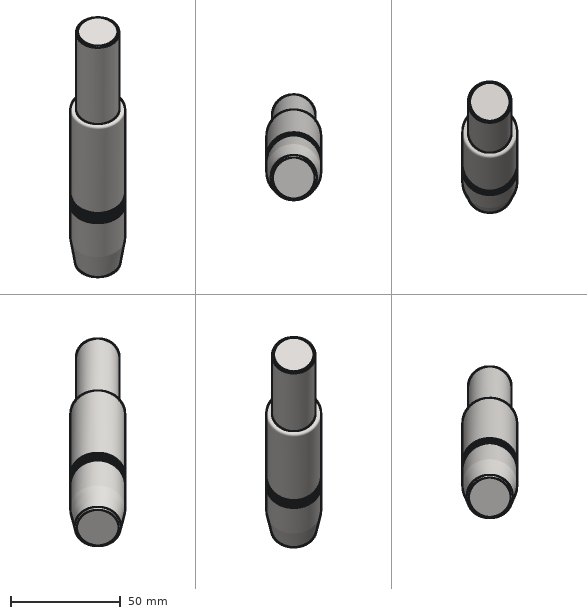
import cadquery as cq

total_length = 150.0
body_radius = 25.0 / 2
shank_radius = 20.0 / 2
shank_length = 50.0
shoulder_z = total_length - shank_length

shank_lead_radius = 9.8
shank_lead_length = 1.5
shank_end_radius = 9.0
shank_tip_length = 0.6

shoulder_round = 1.0

taper_top_z = 16.0
nose_radius = 10.5
nose_chamfer = 1.0

groove_count = 3
groove_pitch = 2.5
groove_width = 1.5
groove_depth = 0.38
top_groove_z = 44.1


def make_pin():
    """Revolve the stepped outline of the pin about Z."""
    return (
        cq.Workplane("XZ")
        .moveTo(0, 0)
        .lineTo(nose_radius - nose_chamfer, 0)
        .lineTo(nose_radius, nose_chamfer)
        .lineTo(body_radius, taper_top_z)
        .lineTo(body_radius, shoulder_z - shoulder_round)
        .tangentArcPoint((-shoulder_round, shoulder_round), relative=True)
        .lineTo(shank_radius, shoulder_z)
        .lineTo(shank_radius, total_length - shank_lead_length)
        .lineTo(shank_lead_radius, total_length - shank_tip_length)
        .lineTo(shank_end_radius, total_length)
        .lineTo(0, total_length)
        .close()
        .revolve(360, (0, 0, 0), (0, 1, 0))
    )


def make_groove(center_z):
    """V-shaped ring that cuts one groove into the body."""
    half_width = groove_width / 2
    return (
        cq.Workplane("XZ")
        .moveTo(body_radius, center_z - half_width)
        .lineTo(body_radius - groove_depth, center_z)
        .lineTo(body_radius, center_z + half_width)
        .close()
        .revolve(360, (0, 0, 0), (0, 1, 0))
    )


result = make_pin()
for index in range(groove_count):
    result = result.cut(make_groove(top_groove_z - index * groove_pitch))